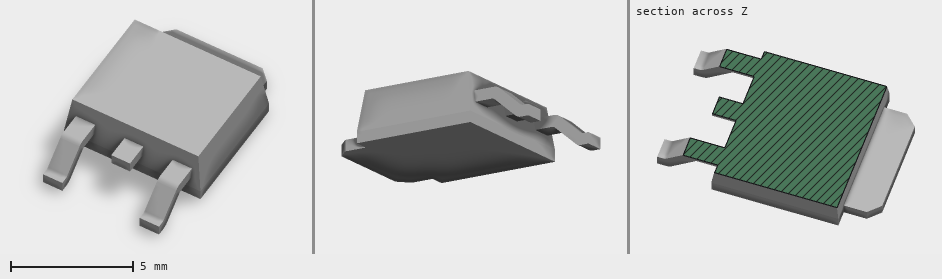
import cadquery as cq
import math

total_length = 9.5
body_width = 6.5
body_length = 5.5
body_height = 2.3
lead_reach = 2.51
tab_reach = total_length - body_length - lead_reach
body_front = -body_length / 2
lead_tip = body_front - lead_reach

metal = 0.49
top_inset = 0.25

tab_width = 5.11
tab_chamfer = 0.49

lead_width = 0.92
lead_pitch = 4.61
lead_top = 1.5
upper_bend = 1.51
lower_bend = 0.33
outer_radius = 0.43
inner_radius = 0.2

stub_width = 0.89
stub_reach = 0.93

embed = 0.475


def make_body():
    """Straight-sided base with a tapered block above it."""
    base = cq.Workplane("XY").rect(body_width, body_length).extrude(metal)
    taper = (
        cq.Workplane("XY", origin=(0, 0, metal))
        .rect(body_width, body_length)
        .workplane(offset=body_height - metal)
        .rect(body_width - 2 * top_inset, body_length - 2 * top_inset)
        .loft(ruled=True)
    )
    return base.union(taper)


def make_tab():
    """Flat mounting tab with its two rear corners cut off."""
    return (
        cq.Workplane("XY")
        .center(0, (body_length + tab_reach) / 2)
        .rect(tab_width, tab_reach)
        .extrude(metal)
        .edges("|Z and >Y")
        .chamfer(tab_chamfer)
    )


def make_lead(center_x):
    """Constant-thickness lead stepping down from the body to the base plane."""
    slope = math.atan2(lead_top - metal, upper_bend - lower_bend)
    corner_shift = metal * math.tan(slope / 2)
    root = body_front + embed
    top_upper = (lead_tip + upper_bend, lead_top)
    top_lower = (lead_tip + lower_bend, metal)
    bottom_lower = (top_lower[0] + corner_shift, 0)
    bottom_upper = (top_upper[0] + corner_shift, lead_top - metal)
    outline = [
        (root, lead_top),
        top_upper,
        top_lower,
        (lead_tip, metal),
        (lead_tip, 0),
        bottom_lower,
        bottom_upper,
        (root, lead_top - metal),
    ]
    lead = (
        cq.Workplane("YZ", origin=(center_x - lead_width / 2, 0, 0))
        .polyline(outline)
        .close()
        .extrude(lead_width)
    )
    bends = [
        (top_upper, outer_radius),
        (bottom_lower, outer_radius),
        (top_lower, inner_radius),
        (bottom_upper, inner_radius),
    ]
    for (y, z), radius in bends:
        corner = cq.selectors.NearestToPointSelector((center_x, y, z))
        lead = lead.edges("|X").edges(corner).fillet(radius)
    return lead


def make_stub():
    """Cut-off middle lead, level with the upper part of the outer leads."""
    return (
        cq.Workplane("XY")
        .box(stub_width, stub_reach + embed, metal, centered=(True, False, False))
        .translate((0, body_front - stub_reach, lead_top - metal))
    )


result = make_body().union(make_tab()).union(make_stub())
for side in (-1, 1):
    result = result.union(make_lead(side * lead_pitch / 2))